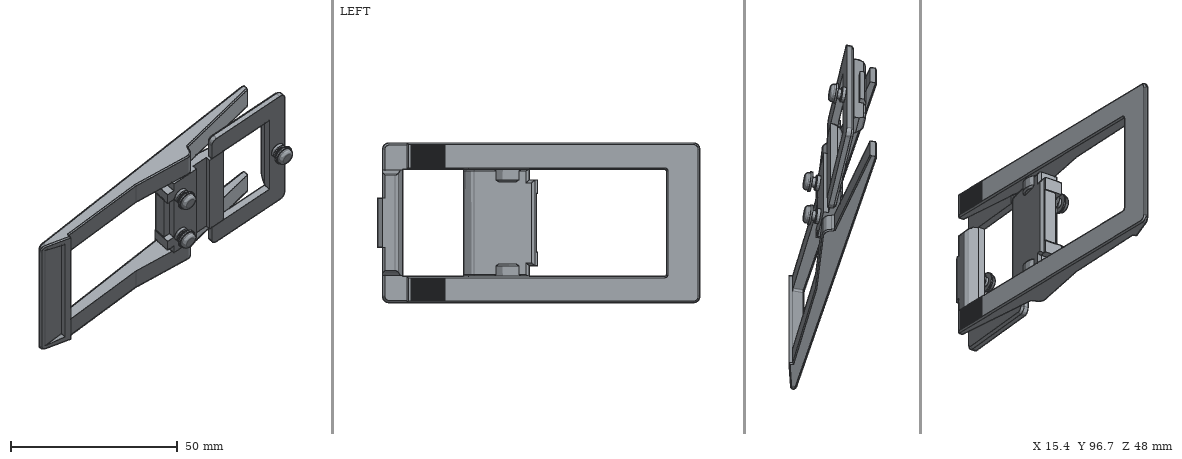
import cadquery as cq
import math


HALF_HEIGHT = 24.0
HALF_OPENING = 16.0
CORNER_RADIUS = 2.0
EDGE_CHAMFER = 0.5

FLANGE_DIAMETER = 4.6
FLANGE_THICKNESS = 1.3
FLANGE_CHAMFER = 0.3
SHANK_DIAMETER = 3.0
RIM_DIAMETER = 6.0
RIM_START = 2.5
RIM_END = 3.1
CAP_DIAMETER = 5.3
CAP_ROUND = 1.0
STUD_LENGTH = 4.65
UPPER_STUD_Y = 38.5
LOWER_STUD_Z = 9.0
STUD_POSITIONS = [(UPPER_STUD_Y, 0), (0, LOWER_STUD_Z), (0, -LOWER_STUD_Z)]

PLATE_THICKNESS = 2.25
PLATE_TOP = 41.5
PLATE_BOTTOM = 12.5
PLATE_WINDOW_TOP = 35.4
PLATE_CHAMFER = 0.7

HOOK_FRONT = -5.85
HOOK_STEP = -3.8
HOOK_FRONT_HALF_HEIGHT = 14.8
HOOK_FRONT_BOTTOM = 37.0
HOOK_TOP_CHAMFER = 0.8
HOOK_BOTTOM_ROUND = 1.2
HOOK_HALF_HEIGHT = 15.8
HOOK_TIP_TOP = 42.95
HOOK_TIP_HALF_HEIGHT = 7.4
HOOK_TIP_TAPER = 0.8
HOOK_TIP_ROOT = 40.0

LEVER_TOP = 34.2
LEVER_TOP_FRONT = -10.78
LEVER_TOP_BACK = -8.6
LEVER_BOTTOM = -53.74
LEVER_BOTTOM_FRONT = -3.4
LEVER_BOTTOM_BACK = -2.1
HUMP_START = (-3.35, 6.0)
HUMP_SHOULDER = (-2.5, 5.6)
HUMP_MIDDLE = (-0.95, 4.9)
HUMP_CREST = (-0.2, 3.4)
WAIST = (-2.05, -15.9)
CATCH_NECK = (-0.65, -43.7)
CATCH_TIP = (0.5, -43.9)
LEVER_WINDOW_BOTTOM = -43.7
LEVER_WINDOW_RADIUS = 0.6
LEVER_BACK_CHAMFER = 0.4
BACK_EDGES_START = (-7.0, 30.0)

CATCH_RECESS_FLOOR = -1.7
CATCH_RECESS_TOP = -45.8
CATCH_RECESS_TOP_HALF_HEIGHT = 21.5
CATCH_RECESS_BOTTOM_HALF_HEIGHT = 22.3

GROOVE_COUNT = 17
GROOVE_PITCH = 0.6
GROOVE_DEPTH = 0.15
FIRST_GROOVE_Y = 32.9
GROOVE_MARGIN = 0.6

BRACKET_TOP = 17.2
BRACKET_FACE_TOP = (-4.3, 14.0)
BRACKET_NOSE_MIDDLE = (-3.35, 16.0)
BRACKET_NOSE_BACK = (-2.0, BRACKET_TOP)
BRACKET_FACE_BOTTOM = (-6.6, -2.6)
BRACKET_END_CHAMFER = 1.0
BACK_RECESS_TOP = 11.6
BACK_RECESS_BOTTOM = 6.4
BACK_RECESS_DEPTH = 1.5
LIP_END = -5.05
LIP_HALF_HEIGHT = 12.9
LIP_BEVEL_START = -3.2
LIP_BEVEL = 0.8
LIP_BEVEL_HEIGHT = 1.1
LIP_SIDE_CHAMFER = 0.9
LIP_NOTCH_HALF_HEIGHT = 8.8
LIP_NOTCH_DEPTH = 0.3
LIP_UNDERCUT = 2.0

KNUCKLE_RADIUS = 5.0
KNUCKLE_X = -2.15
KNUCKLE_Y = 3.5
KNUCKLE_LENGTH = 3.7
KNUCKLE_CHAMFER = 0.6

EAR_TOP = 17.6
EAR_BOTTOM = 15.7
EAR_THICKNESS = 0.8
EAR_WIDTH = 2.0
EAR_ROUND = 0.5


def box(x_range, y_range, z_range):
    """Axis-aligned block between pairs of coordinates."""
    (x0, x1), (y0, y1), (z0, z1) = x_range, y_range, z_range
    return cq.Workplane("XY").box(x1 - x0, y1 - y0, z1 - z0, centered=False).translate((x0, y0, z0))


def symmetric_extrude(profile, half_height):
    """Extrude a closed X-Y profile to both sides of the mid-plane."""
    return profile.extrude(half_height, both=True)


def make_stud(y, z):
    """Headed stud standing on the mounting face, with its axis along +X."""
    flange, shank, rim, cap = (
        diameter / 2 for diameter in (FLANGE_DIAMETER, SHANK_DIAMETER, RIM_DIAMETER, CAP_DIAMETER)
    )
    arc_offset = CAP_ROUND * (1 - math.sqrt(0.5))
    return (
        cq.Workplane("XY")
        .lineTo(0, flange)
        .lineTo(FLANGE_THICKNESS - FLANGE_CHAMFER, flange)
        .lineTo(FLANGE_THICKNESS, flange - FLANGE_CHAMFER)
        .lineTo(FLANGE_THICKNESS, shank)
        .lineTo(RIM_START, shank)
        .lineTo(RIM_START, rim)
        .lineTo(RIM_END, rim)
        .lineTo(RIM_END, cap)
        .lineTo(STUD_LENGTH - CAP_ROUND, cap)
        .threePointArc(
            (STUD_LENGTH - arc_offset, cap - arc_offset),
            (STUD_LENGTH, cap - CAP_ROUND),
        )
        .lineTo(STUD_LENGTH, 0)
        .close()
        .revolve(360, (0, 0, 0), (1, 0, 0))
        .translate((0, y, z))
    )


def make_hook():
    """Hook across the top of the back plate, with a narrower tip pointing up."""
    profile = (
        cq.Workplane("XY")
        .moveTo(-PLATE_THICKNESS, PLATE_TOP)
        .lineTo(HOOK_FRONT, PLATE_TOP)
        .lineTo(HOOK_FRONT, HOOK_FRONT_BOTTOM)
        .lineTo(-PLATE_THICKNESS, PLATE_WINDOW_TOP)
        .close()
    )
    body = symmetric_extrude(profile, HOOK_HALF_HEIGHT)
    body = body.edges("|Z").edges("<X").edges("<Y").fillet(HOOK_BOTTOM_ROUND)
    body = body.faces("<X").edges(">Y").chamfer(HOOK_TOP_CHAMFER)
    side_limits = (
        cq.Workplane("XZ", origin=(0, PLATE_TOP, 0))
        .polyline([
            (-PLATE_THICKNESS, HOOK_HALF_HEIGHT),
            (HOOK_STEP, HOOK_HALF_HEIGHT),
            (HOOK_FRONT + EDGE_CHAMFER, HOOK_FRONT_HALF_HEIGHT),
            (HOOK_FRONT, HOOK_FRONT_HALF_HEIGHT - EDGE_CHAMFER),
            (HOOK_FRONT, EDGE_CHAMFER - HOOK_FRONT_HALF_HEIGHT),
            (HOOK_FRONT + EDGE_CHAMFER, -HOOK_FRONT_HALF_HEIGHT),
            (HOOK_STEP, -HOOK_HALF_HEIGHT),
            (-PLATE_THICKNESS, -HOOK_HALF_HEIGHT),
        ])
        .close()
        .extrude(PLATE_TOP - PLATE_WINDOW_TOP)
    )
    tip_profile = cq.Workplane("XY").polyline([
        (HOOK_STEP, HOOK_TIP_ROOT),
        (HOOK_FRONT, HOOK_TIP_ROOT),
        (HOOK_FRONT, PLATE_TOP),
        (HOOK_FRONT + HOOK_TIP_TAPER, HOOK_TIP_TOP),
        (HOOK_STEP, HOOK_TIP_TOP),
    ]).close()
    return body.intersect(side_limits).union(symmetric_extrude(tip_profile, HOOK_TIP_HALF_HEIGHT))


def make_back_plate():
    """U-shaped plate with two arms pointing down and a hook across its top."""
    plate = box((-PLATE_THICKNESS, 0), (PLATE_BOTTOM, PLATE_TOP), (-HALF_HEIGHT, HALF_HEIGHT))
    plate = plate.edges("|X").fillet(CORNER_RADIUS)
    plate = plate.faces("<X").edges().chamfer(PLATE_CHAMFER)
    window = box((-PLATE_THICKNESS, 0), (PLATE_BOTTOM, PLATE_WINDOW_TOP), (-HALF_OPENING, HALF_OPENING))
    return plate.cut(window).union(make_hook())


def lever_front_x(y):
    """X of the sloping lever front at a given Y."""
    slope = (LEVER_BOTTOM_FRONT - LEVER_TOP_FRONT) / (LEVER_BOTTOM - LEVER_TOP)
    return LEVER_TOP_FRONT + slope * (y - LEVER_TOP)


def make_grooves():
    """Saw-toothed grip grooves across the front of both lever arms."""
    z_start = HALF_OPENING + GROOVE_MARGIN
    z_length = HALF_HEIGHT - HALF_OPENING - 2 * GROOVE_MARGIN
    grooves = cq.Workplane("XY")
    for side in (1, -1):
        for index in range(GROOVE_COUNT):
            top = FIRST_GROOVE_Y - index * GROOVE_PITCH
            middle = top - GROOVE_PITCH / 2
            bottom = top - GROOVE_PITCH
            floor = lever_front_x(top) + GROOVE_DEPTH
            groove = (
                cq.Workplane("XY", origin=(0, 0, side * z_start))
                .polyline([
                    (lever_front_x(top), top),
                    (floor, top),
                    (floor, middle),
                    (lever_front_x(bottom), bottom),
                ])
                .close()
                .extrude(side * z_length)
            )
            grooves = grooves.add(groove)
    return grooves


def make_catch_recess():
    """Cutter for the recess in the catch, widening toward the foot of the lever."""
    return (
        cq.Workplane("YZ", origin=(CATCH_RECESS_FLOOR, 0, 0))
        .polyline([
            (CATCH_RECESS_TOP, CATCH_RECESS_TOP_HALF_HEIGHT),
            (LEVER_BOTTOM, CATCH_RECESS_BOTTOM_HALF_HEIGHT),
            (LEVER_BOTTOM, -CATCH_RECESS_BOTTOM_HALF_HEIGHT),
            (CATCH_RECESS_TOP, -CATCH_RECESS_TOP_HALF_HEIGHT),
        ])
        .close()
        .extrude(CATCH_TIP[0] - CATCH_RECESS_FLOOR)
    )


def make_lever():
    """Long wedge-shaped U frame with a hump, a catch at its foot and grip grooves."""
    profile = (
        cq.Workplane("XY")
        .moveTo(LEVER_TOP_FRONT, LEVER_TOP)
        .lineTo(LEVER_TOP_BACK, LEVER_TOP)
        .lineTo(*HUMP_START)
        .lineTo(*HUMP_SHOULDER)
        .threePointArc(HUMP_MIDDLE, HUMP_CREST)
        .lineTo(*WAIST)
        .lineTo(*CATCH_NECK)
        .lineTo(*CATCH_TIP)
        .lineTo(LEVER_BOTTOM_BACK, LEVER_BOTTOM)
        .lineTo(LEVER_BOTTOM_FRONT, LEVER_BOTTOM)
        .close()
    )
    lever = symmetric_extrude(profile, HALF_HEIGHT)
    depth = (LEVER_TOP_FRONT, CATCH_TIP[0])
    outline = box(depth, (LEVER_BOTTOM, LEVER_TOP), (-HALF_HEIGHT, HALF_HEIGHT))
    lever = lever.intersect(outline.edges("|X and <Y").fillet(CORNER_RADIUS))
    back_edges = cq.selectors.BoxSelector(
        (BACK_EDGES_START[0], LEVER_BOTTOM, -2 * HALF_HEIGHT),
        (CATCH_TIP[0], BACK_EDGES_START[1], 2 * HALF_HEIGHT),
    )
    lever = lever.faces(">Z or <Z").edges(back_edges).chamfer(LEVER_BACK_CHAMFER)
    window = box(depth, (LEVER_WINDOW_BOTTOM, LEVER_TOP), (-HALF_OPENING, HALF_OPENING))
    lever = lever.cut(window.edges("|X and <Y").fillet(LEVER_WINDOW_RADIUS))
    front_normal = cq.Vector(LEVER_BOTTOM - LEVER_TOP, LEVER_TOP_FRONT - LEVER_BOTTOM_FRONT, 0)
    lever = lever.faces(cq.ParallelDirSelector(front_normal)).edges().chamfer(EDGE_CHAMFER)
    lever = lever.cut(make_catch_recess())
    for groove in make_grooves().vals():
        lever = lever.cut(cq.Workplane(groove))
    return lever


def make_bracket():
    """Block between the arms with a tilted face, a round nose, a lip, knuckles and ears."""
    face_run = BRACKET_FACE_BOTTOM[1] - BRACKET_FACE_TOP[1]
    face_slope = (BRACKET_FACE_BOTTOM[0] - BRACKET_FACE_TOP[0]) / face_run
    bracket = symmetric_extrude(
        cq.Workplane("XY")
        .moveTo(0, BRACKET_TOP)
        .lineTo(*BRACKET_NOSE_BACK)
        .threePointArc(BRACKET_NOSE_MIDDLE, BRACKET_FACE_TOP)
        .lineTo(*BRACKET_FACE_BOTTOM)
        .lineTo(0, BRACKET_FACE_BOTTOM[1])
        .close(),
        HALF_OPENING,
    )
    face_middle = (
        (BRACKET_FACE_TOP[0] + BRACKET_FACE_BOTTOM[0]) / 2,
        (BRACKET_FACE_TOP[1] + BRACKET_FACE_BOTTOM[1]) / 2,
        0,
    )
    face = bracket.faces(cq.NearestToPointSelector(face_middle))
    bracket = face.edges("#Z").chamfer(EDGE_CHAMFER)
    bracket = bracket.edges("|Z").edges("<Y").edges("<X").chamfer(BRACKET_END_CHAMFER)

    lip_front = BRACKET_FACE_BOTTOM[0] + face_slope * (LIP_BEVEL_START - BRACKET_FACE_BOTTOM[1])
    lip = symmetric_extrude(
        cq.Workplane("XY").polyline([
            (0, 0),
            (BRACKET_FACE_TOP[0] - face_slope * BRACKET_FACE_TOP[1], 0),
            (lip_front, LIP_BEVEL_START),
            (lip_front + LIP_BEVEL, LIP_BEVEL_START - LIP_BEVEL_HEIGHT),
            (lip_front + LIP_BEVEL, LIP_END),
            (0, LIP_END),
        ]).close(),
        LIP_HALF_HEIGHT,
    )
    lip = lip.faces(">Z or <Z").edges("<X").chamfer(LIP_SIDE_CHAMFER)
    notch_height = (-LIP_NOTCH_HALF_HEIGHT, LIP_NOTCH_HALF_HEIGHT)
    lip = lip.cut(box((lip_front + LIP_BEVEL, 0), (LIP_END, LIP_END + LIP_NOTCH_DEPTH), notch_height))
    lip = lip.cut(box((-LIP_UNDERCUT, 0), (LIP_END, BRACKET_FACE_BOTTOM[1]), notch_height))
    bracket = bracket.union(lip)

    for side in (1, -1):
        knuckle = (
            cq.Workplane("XY", origin=(KNUCKLE_X, KNUCKLE_Y, side * HALF_OPENING))
            .circle(KNUCKLE_RADIUS)
            .extrude(-side * KNUCKLE_LENGTH)
        )
        inner_end = "<Z" if side > 0 else ">Z"
        knuckle = knuckle.faces(inner_end).chamfer(KNUCKLE_CHAMFER)
        bracket = bracket.union(knuckle)

        z_range = sorted((side * HALF_OPENING, side * (HALF_OPENING + EAR_WIDTH)))
        ear_front = -PLATE_THICKNESS - EAR_THICKNESS
        ear = box((ear_front, -PLATE_THICKNESS), (EAR_BOTTOM, EAR_TOP), z_range)
        bracket = bracket.union(ear.edges("|Z and <X and >Y").fillet(EAR_ROUND))

    stud_side = box((0, KNUCKLE_RADIUS), (LIP_END, BRACKET_TOP), (-HALF_OPENING, HALF_OPENING))
    recess = box(
        (-BACK_RECESS_DEPTH, 0),
        (BACK_RECESS_BOTTOM, BACK_RECESS_TOP),
        (-HALF_OPENING, HALF_OPENING),
    )
    return bracket.cut(stud_side).cut(recess)


back_plate = make_back_plate()
lever = make_lever()
bracket = make_bracket()
studs = [make_stud(y, z) for y, z in STUD_POSITIONS]

result = cq.Compound.makeCompound(
    [back_plate.val(), lever.val(), bracket.val()] + [stud.val() for stud in studs]
)